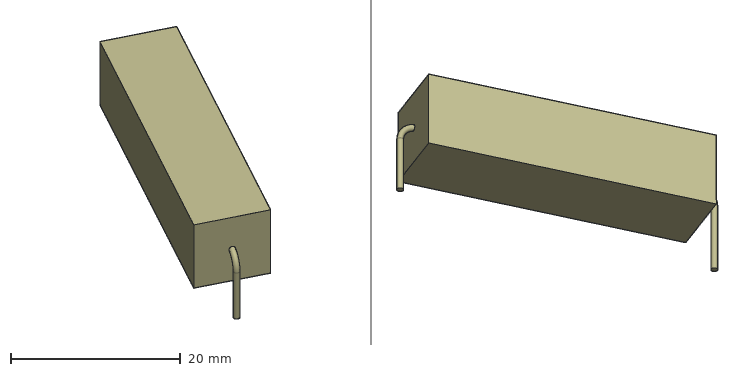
import cadquery as cq

overall_length = 40.8
overall_height = 15.5
body_length = 36.6
body_side = 9.5
wire_diameter = 0.8
bend_radius = 2.0
right_lead_shortfall = 1.85
lead_embed = 0.8

body_center_z = overall_height - body_side / 2
lead_x = (overall_length - wire_diameter) / 2
bend_start_x = lead_x - bend_radius


def make_body():
    return cq.Workplane("XY").box(body_length, body_side, body_side).translate((0, 0, body_center_z))


def make_lead(side, tip_z):
    """Wire leaving the end face on the given X side (-1 or 1) and bending down to tip_z."""
    bend = cq.Vector(side * bend_start_x, 0, body_center_z)
    bend_end = cq.Vector(side * lead_x, 0, body_center_z - bend_radius)
    profile = cq.Workplane("XY", origin=(bend_end.x, 0, tip_z)).circle(wire_diameter / 2)
    path = (
        cq.Workplane("XZ")
        .moveTo(bend_end.x, tip_z)
        .lineTo(bend_end.x, bend_end.z)
        .tangentArcPoint((bend.x, bend.z), relative=False)
        .lineTo(bend.x - side * lead_embed, bend.z)
    )
    return profile.sweep(path)


left_lead = make_lead(-1, 0)
right_lead = make_lead(1, right_lead_shortfall)
result = make_body().union(left_lead).union(right_lead)